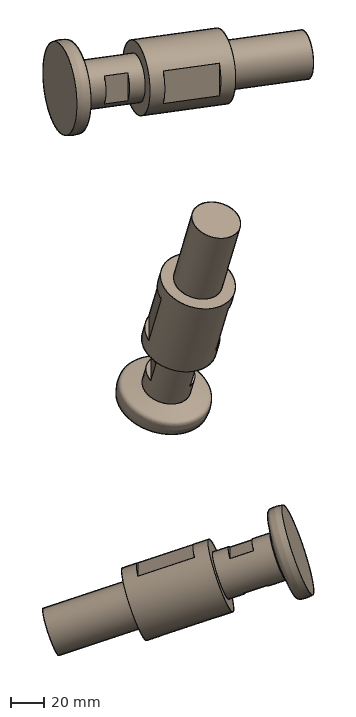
import cadquery as cq

total_length = 157.0
shaft_diameter = 30.0
shaft_start = 12.4
shaft_flat_width = 24.0
shaft_flat_start = 23.9
shaft_flat_length = 15.0

sleeve_diameter = 46.0
sleeve_start = 49.0
sleeve_length = 55.0
sleeve_flat_width = 41.0
sleeve_flat_length = 36.0

foot_face_radius = 28.4
rim_radius = 58.0 / 2
rim_height = 4.0
shoulder_radius = 28.5
shoulder_height = 9.4
shoulder_rounding = 2.7
neck_radius = 12.0


def cylinder_along_y(diameter, start, length):
    """Cylinder centred on the Y axis, from start towards +Y."""
    return cq.Workplane("XZ", origin=(0, start, 0)).circle(diameter / 2).extrude(-length)


def cut_side_flats(body, diameter, flat_width, start, length):
    """Cut two opposite wrench flats, facing -X and +X."""
    cut_depth = (diameter - flat_width) / 2
    for side in (-1, 1):
        cutter = cq.Workplane("XY").box(2 * cut_depth, length, diameter)
        body = body.cut(cutter.translate((side * (flat_width / 2 + cut_depth), start + length / 2, 0)))
    return body


def make_foot():
    """Foot turned about the Y axis: tapered rim, rounded shoulder and shallow cone."""
    foot = (
        cq.Workplane("XY")
        .lineTo(foot_face_radius, 0)
        .lineTo(rim_radius, rim_height)
        .lineTo(shoulder_radius, shoulder_height)
        .lineTo(neck_radius, shaft_start)
        .lineTo(0, shaft_start)
        .close()
        .revolve(360, (0, 0, 0), (0, 1, 0))
    )
    shoulder_center = (0, shoulder_height, 0)
    return foot.edges("%CIRCLE").edges(cq.NearestToPointSelector(shoulder_center)).fillet(shoulder_rounding)


def make_spindle():
    """Shaft with wrench flats and its foot, in one piece."""
    shaft = cylinder_along_y(shaft_diameter, shaft_start, total_length - shaft_start)
    shaft = cut_side_flats(shaft, shaft_diameter, shaft_flat_width, shaft_flat_start, shaft_flat_length)
    return shaft.union(make_foot())


def make_sleeve():
    """Sleeve with wrench flats at its middle, bored to fit the shaft."""
    sleeve = cylinder_along_y(sleeve_diameter, sleeve_start, sleeve_length)
    flat_start = sleeve_start + (sleeve_length - sleeve_flat_length) / 2
    sleeve = cut_side_flats(sleeve, sleeve_diameter, sleeve_flat_width, flat_start, sleeve_flat_length)
    return sleeve.cut(cylinder_along_y(shaft_diameter, sleeve_start, sleeve_length))


spindle = make_spindle()
sleeve = make_sleeve()

result = cq.Compound.makeCompound([spindle.val(), sleeve.val()])